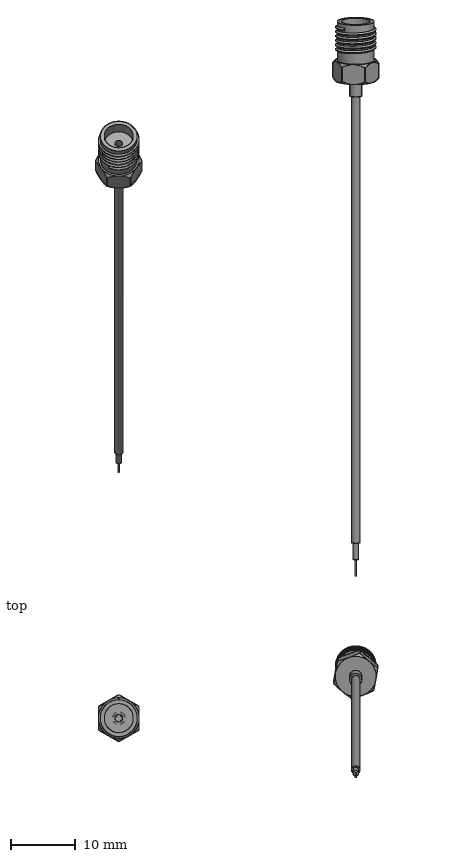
import cadquery as cq
import math

TOTAL_LENGTH = 87.9
WIRE_EXPOSED = 2.6
INSULATION_EXPOSED = 2.6
CONNECTOR_LENGTH = 11.8
FERRULE_LENGTH = 2.5
HEX_HEIGHT = 3.2

WIRE_DIAMETER = 0.31
INSULATION_DIAMETER = 0.9
JACKET_DIAMETER = 1.3

FERRULE_DIAMETER = 1.9
HEX_ACROSS_FLATS = 6.3
HEX_TRIM_DIAMETER = 7.2
HEX_CHAMFER_HEIGHT = 0.4
BARREL_DIAMETER = 5.7
BORE_DIAMETER = 4.5
BORE_DEPTH = 1.9
CONTACT_HOLE_DIAMETER = 1.1
CONTACT_HOLE_DEPTH = 1.8

THREAD_DIAMETER = 6.3
THREAD_PITCH = 0.7
THREAD_TURNS = 5.5
THREAD_START_ANGLE = -90
THREAD_BASE_WIDTH = 0.6
THREAD_ROOT_OVERLAP = 0.1
THREAD_TOP_GAP = 0.8

INSULATION_BOTTOM = WIRE_EXPOSED
JACKET_BOTTOM = INSULATION_BOTTOM + INSULATION_EXPOSED
FERRULE_BOTTOM = TOTAL_LENGTH - CONNECTOR_LENGTH
HEX_BOTTOM = FERRULE_BOTTOM + FERRULE_LENGTH
HEX_TOP = HEX_BOTTOM + HEX_HEIGHT
THREAD_START = TOTAL_LENGTH - THREAD_TOP_GAP - THREAD_TURNS * THREAD_PITCH
BORE_FLOOR = TOTAL_LENGTH - BORE_DEPTH


def cylinder(diameter, bottom, top):
    """Upright cylinder on the part axis."""
    return cq.Workplane("XY").workplane(offset=bottom).circle(diameter / 2).extrude(top - bottom)


def make_cable():
    """Jacketed cable, stripped in two steps, ending flush with the hexagon's underside."""
    wire = cylinder(WIRE_DIAMETER, 0, HEX_BOTTOM)
    insulation = cylinder(INSULATION_DIAMETER, INSULATION_BOTTOM, HEX_BOTTOM)
    jacket = cylinder(JACKET_DIAMETER, JACKET_BOTTOM, HEX_BOTTOM)
    return wire.union(insulation).union(jacket)


def make_hexagon():
    """Hexagon with flats facing X and its corners turned down and chamfered."""
    across_corners = HEX_ACROSS_FLATS / math.cos(math.pi / 6)
    prism = (
        cq.Workplane("XY")
        .workplane(offset=HEX_BOTTOM)
        .polygon(6, across_corners)
        .extrude(HEX_HEIGHT)
        .rotate((0, 0, 0), (0, 0, 1), 30)
    )
    trim = HEX_TRIM_DIAMETER / 2
    end_radius = HEX_ACROSS_FLATS / 2
    envelope = (
        cq.Workplane("XZ")
        .moveTo(0, HEX_BOTTOM)
        .lineTo(end_radius, HEX_BOTTOM)
        .lineTo(trim, HEX_BOTTOM + HEX_CHAMFER_HEIGHT)
        .lineTo(trim, HEX_TOP - HEX_CHAMFER_HEIGHT)
        .lineTo(end_radius, HEX_TOP)
        .lineTo(0, HEX_TOP)
        .close()
        .revolve(360, (0, 0, 0), (0, 1, 0))
    )
    return prism.intersect(envelope)


def make_thread():
    """Right-hand ridge swept along a helix, its base slightly inside the barrel."""
    base = BARREL_DIAMETER / 2 - THREAD_ROOT_OVERLAP
    crest = THREAD_DIAMETER / 2
    helix = cq.Wire.makeHelix(THREAD_PITCH, THREAD_TURNS * THREAD_PITCH, base)
    profile = (
        cq.Workplane("XZ")
        .moveTo(base, -THREAD_BASE_WIDTH / 2)
        .lineTo(crest, 0)
        .lineTo(base, THREAD_BASE_WIDTH / 2)
        .close()
    )
    ridge = profile.sweep(cq.Workplane(helix), isFrenet=True)
    ridge = ridge.rotate((0, 0, 0), (0, 0, 1), THREAD_START_ANGLE)
    return ridge.translate((0, 0, THREAD_START))


def make_connector():
    """Threaded socket with a hexagon and a ferrule that sleeves the cable."""
    body = make_hexagon().union(cylinder(BARREL_DIAMETER, HEX_TOP, TOTAL_LENGTH))
    body = body.union(make_thread())
    body = body.union(cylinder(FERRULE_DIAMETER, FERRULE_BOTTOM, HEX_BOTTOM))
    body = body.cut(cylinder(BORE_DIAMETER, BORE_FLOOR, TOTAL_LENGTH))
    body = body.cut(cylinder(CONTACT_HOLE_DIAMETER, BORE_FLOOR - CONTACT_HOLE_DEPTH, BORE_FLOOR))
    return body.cut(cylinder(JACKET_DIAMETER, FERRULE_BOTTOM, HEX_BOTTOM))


cable = make_cable()
connector = make_connector()

result = cq.Compound.makeCompound([cable.solids().val(), connector.solids().val()])